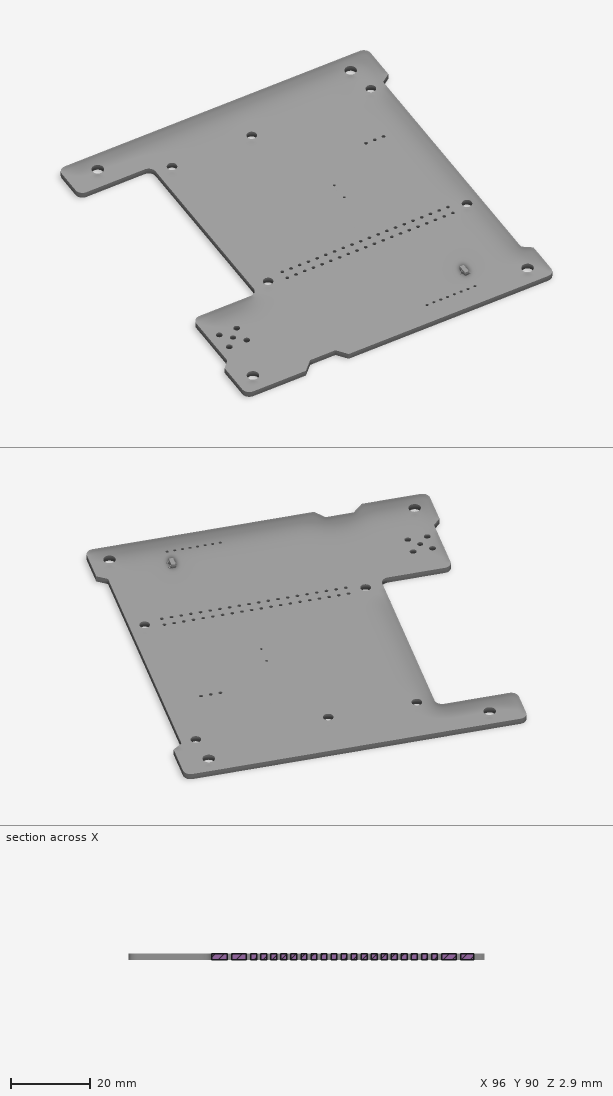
import cadquery as cq


BOARD_LENGTH = 96.0
BOARD_WIDTH = 90.0
BOARD_THICKNESS = 1.6
CORNER_RADIUS = 2.0

TAB_WIDTH = 11.0

TOP_RECESS_DEPTH = 2.6
TOP_RECESS_SLOPE = 1.8

BAY_RIGHT = 65.0
BAY_DEPTH = 21.0

STEP_HEIGHT = 2.0
STEP_SLOPE = 2.2

SIDE_NOTCH_DEPTH = 2.9
SIDE_NOTCH_BOTTOM = 17.4
SIDE_NOTCH_TOP = 29.9
SIDE_NOTCH_UPPER_SLOPE = 2.2

CORNER_HOLE_DIAMETER = 3.2
CORNER_HOLE_CENTRES = [(5.1, 82.5), (5.1, 8.7), (90.8, 85.0), (90.8, 4.9)]

MOUNT_HOLE_DIAMETER = 2.7
MOUNT_LEFT = 13.5
MOUNT_RIGHT = 62.5
MOUNT_BOTTOM = 25.5
MOUNT_TOP = 83.5
MOUNT_EXTRA_Y = 48.8

HEADER_HOLE_DIAMETER = 1.0
HEADER_ROWS = 20
HEADER_LENGTH = 48.3
HEADER_PITCH = HEADER_LENGTH / (HEADER_ROWS - 1)
HEADER_CENTRE_Y = (MOUNT_BOTTOM + MOUNT_TOP) / 2

TRIPLE_HOLE_DIAMETER = 1.0
TRIPLE_HOLES = 3
TRIPLE_CENTRE = (30.4, 75.0)

PAIR_HOLE_DIAMETER = 0.7
PAIR_PITCH = 2 * HEADER_PITCH
PAIR_CENTRE = (42.5, 57.7)

STRIP_HOLE_DIAMETER = 0.8
STRIP_HOLES = 8
STRIP_LENGTH = 13.9
STRIP_CENTRE = (90.0, 63.1)

COAX_CENTRE = (76.1, 7.5)
COAX_PIN_DIAMETER = 1.5
COAX_GROUND_DIAMETER = 1.7
GROUND_PITCH = 2 * HEADER_PITCH

TRANSISTOR_CENTRE = (84.3, 70.3)
CASE_LENGTH = 2.9
CASE_WIDTH = 1.3
CASE_HEIGHT = 1.2
CASE_STANDOFF = 0.1
CASE_TAPER = 10.0
LEAD_SPAN = 2.3
LEAD_WIDTH = 0.4
LEAD_THICKNESS = 0.2
LEAD_FOOT = 0.5
LEAD_PITCH = 1.9


def grid(centre, columns, rows, pitch_x, pitch_y):
    """Points of a rectangular grid about a centre."""
    return [
        (
            centre[0] + (column - (columns - 1) / 2) * pitch_x,
            centre[1] + (row - (rows - 1) / 2) * pitch_y,
        )
        for column in range(columns)
        for row in range(rows)
    ]


def board_blank():
    notch_x = BOARD_LENGTH - SIDE_NOTCH_DEPTH
    recess_y = BOARD_WIDTH - TOP_RECESS_DEPTH
    right_tab_x = BOARD_LENGTH - TAB_WIDTH
    blank = (
        cq.Workplane("XY")
        .polyline([
            (0, 0),
            (TAB_WIDTH, 0),
            (TAB_WIDTH, BAY_DEPTH),
            (BAY_RIGHT, BAY_DEPTH),
            (BAY_RIGHT, STEP_HEIGHT),
            (right_tab_x - STEP_SLOPE, STEP_HEIGHT),
            (right_tab_x, 0),
            (BOARD_LENGTH, 0),
            (BOARD_LENGTH, SIDE_NOTCH_BOTTOM),
            (notch_x, SIDE_NOTCH_BOTTOM + SIDE_NOTCH_DEPTH),
            (notch_x, SIDE_NOTCH_TOP - SIDE_NOTCH_UPPER_SLOPE),
            (BOARD_LENGTH, SIDE_NOTCH_TOP),
            (BOARD_LENGTH, BOARD_WIDTH),
            (right_tab_x, BOARD_WIDTH),
            (right_tab_x - TOP_RECESS_SLOPE, recess_y),
            (TAB_WIDTH + TOP_RECESS_SLOPE, recess_y),
            (TAB_WIDTH, BOARD_WIDTH),
            (0, BOARD_WIDTH),
        ])
        .close()
        .extrude(BOARD_THICKNESS)
    )
    rounded_corners = [
        (0, 0),
        (TAB_WIDTH, 0),
        (TAB_WIDTH, BAY_DEPTH),
        (BAY_RIGHT, BAY_DEPTH),
        (BAY_RIGHT, STEP_HEIGHT),
        (BOARD_LENGTH, 0),
        (BOARD_LENGTH, BOARD_WIDTH),
        (0, BOARD_WIDTH),
    ]
    return round_corners(blank, rounded_corners, CORNER_RADIUS)


def round_corners(body, corners, radius):
    """Fillet the upright edge at each corner."""
    for x, y in corners:
        edge = cq.selectors.NearestToPointSelector((x, y, BOARD_THICKNESS / 2))
        body = body.edges("|Z").edges(edge).fillet(radius)
    return body


def drill(body, centres, diameter):
    holes = cq.Workplane("XY").pushPoints(centres).circle(diameter / 2).extrude(BOARD_THICKNESS)
    return body.cut(holes)


def make_board():
    board = board_blank()
    board = drill(board, CORNER_HOLE_CENTRES, CORNER_HOLE_DIAMETER)

    mounts = [(x, y) for x in (MOUNT_LEFT, MOUNT_RIGHT) for y in (MOUNT_BOTTOM, MOUNT_TOP)]
    mounts.append((MOUNT_LEFT, MOUNT_EXTRA_Y))
    board = drill(board, mounts, MOUNT_HOLE_DIAMETER)

    header_centre = (MOUNT_RIGHT, HEADER_CENTRE_Y)
    header = grid(header_centre, 2, HEADER_ROWS, HEADER_PITCH, HEADER_PITCH)
    board = drill(board, header, HEADER_HOLE_DIAMETER)

    triple = grid(TRIPLE_CENTRE, 1, TRIPLE_HOLES, 0, HEADER_PITCH)
    board = drill(board, triple, TRIPLE_HOLE_DIAMETER)

    pair = grid(PAIR_CENTRE, 2, 1, PAIR_PITCH, 0)
    board = drill(board, pair, PAIR_HOLE_DIAMETER)

    strip = grid(STRIP_CENTRE, 1, STRIP_HOLES, 0, STRIP_LENGTH / (STRIP_HOLES - 1))
    board = drill(board, strip, STRIP_HOLE_DIAMETER)

    grounds = grid(COAX_CENTRE, 2, 2, GROUND_PITCH, GROUND_PITCH)
    board = drill(board, grounds, COAX_GROUND_DIAMETER)
    return drill(board, [COAX_CENTRE], COAX_PIN_DIAMETER)


def transistor_lead(x, side):
    """Gull-wing lead from the case's middle down to the board; side is +1 or -1 along Y."""
    tip = LEAD_SPAN / 2
    bend = tip - LEAD_FOOT
    shoulder = CASE_STANDOFF + CASE_HEIGHT / 2 + LEAD_THICKNESS / 2
    outline = [
        (0, shoulder),
        (bend + LEAD_THICKNESS, shoulder),
        (bend + LEAD_THICKNESS, LEAD_THICKNESS),
        (tip, LEAD_THICKNESS),
        (tip, 0),
        (bend, 0),
        (bend, shoulder - LEAD_THICKNESS),
        (0, shoulder - LEAD_THICKNESS),
    ]
    return (
        cq.Workplane("YZ")
        .polyline([(side * y, z) for y, z in outline])
        .close()
        .extrude(LEAD_WIDTH / 2, both=True)
        .translate((x, 0, 0))
    )


def make_transistor():
    half_height = CASE_HEIGHT / 2
    middle = cq.Workplane("XY").workplane(offset=CASE_STANDOFF + half_height)
    upper = middle.rect(CASE_LENGTH, CASE_WIDTH).extrude(half_height, taper=CASE_TAPER)
    lower = middle.rect(CASE_LENGTH, CASE_WIDTH).extrude(-half_height, taper=CASE_TAPER)
    transistor = upper.union(lower)
    for x, side in [(-LEAD_PITCH / 2, 1), (LEAD_PITCH / 2, 1), (0, -1)]:
        transistor = transistor.union(transistor_lead(x, side))
    return transistor.translate((*TRANSISTOR_CENTRE, BOARD_THICKNESS))


board = make_board()
transistor = make_transistor()

result = cq.Compound.makeCompound([board.val(), transistor.val()])